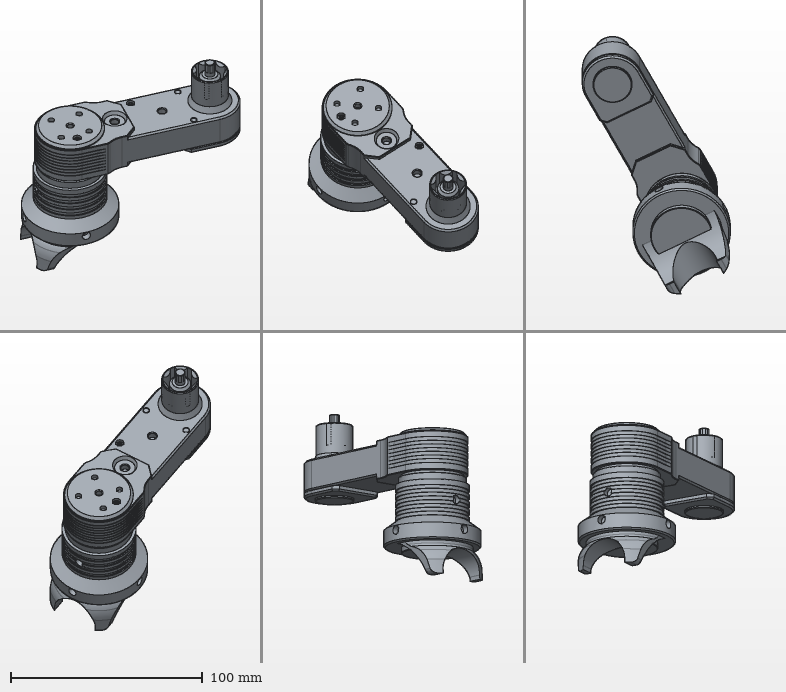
import cadquery as cq
import math

hub_z = 15.3
ring_bottom_z = 18.5
ring_shoulder_z = 27.2
sleeve_bottom_z = 32.3
sleeve_top_z = 51.5
collar_top_z = 55.3
block_bottom_z = 56.8
block_top_z = 77.4
cap_top_z = 79.3
arm_bottom_z = 58.7
arm_top_z = 75.5
foot_bottom_z = 56.0
foot_disc_z = 54.8
flare_top_z = 78.8
post_top_z = 95.0
hex_base_z = 95.4
hex_top_z = 100.7

edge_chamfer = 0.4
ring_diameter = 51.0
ring_radius = ring_diameter / 2
ring_chamfer = 0.8
sleeve_radius = 19.4
sleeve_groove_radius = 18.7
sleeve_rib_height = 2.0
sleeve_rib_pitch = 4.0
sleeve_rib_count = 5
collar_radius = 17.7
neck_radius = 16.5
neck_height = 1.5
hub_radius = 16.2
set_screw_radius = 2.3
set_screw_depth = 3.6
ring_screw_z = 24.7
sleeve_screw_z = 41.5

total_length = 118.8
arm_width = 31.7
arm_radius = arm_width / 2
post_y = total_length - ring_radius - arm_radius
arm_chamfer = 1.0
foot_end_y = 58.7
foot_corner = 2.9
foot_disc_radius = 10.2
foot_chamfer = 1.0
foot_disc_chamfer = foot_chamfer / 2
post_diameter = 19.4
post_radius = post_diameter / 2
flare_radius = 11.5
post_chamfer = 0.5
socket_radius = 9.0
socket_depth = 11.9
spline_count = 6
spline_radius = 5.7
spline_center = 13.0
boss_radius = 5.6
boss_chamfer = 1.4
boss_top_z = 93.0
hex_flats = 5.0
shaft_radius = 2.6
lead_in = 1.4
hex_chamfer = 0.4

block_radius = 18.7
block_side_y = 14.3
block_curve_y = 15.7
block_curve_x = 18.2
block_waist_y = 23.0
block_end_y = 32.0
block_corner_x = 10.2
block_corner_y = 26.1
slot_count = 4
slot_width = 2.0
slot_pitch = 3.9
slot_depth = 0.4
slot_top_z = 74.2
slot_floor_y = 9.4
slot_end_y = 13.0
cap_radius = 18.0
cap_chamfer = 1.4

claw_top_width = 42.5
claw_tip_width = 35.4
claw_tip_fillet = 3.0
claw_tip_y = -15.3
claw_tip_z = 1.4
claw_hollow_middle = (-10.3, 9.7)
skirt_top_radius = 21.4
skirt_tip_radius = 26.4
skirt_collar_bottom = (skirt_top_radius, 16.9)
skirt_shoulder = (21.7, 15.6)
skirt_upper_middle = (23.0, 14.3)
skirt_knee = (24.0, 13.0)
skirt_lower_middle = (25.2, 10.3)
skirt_flank = (25.9, 7.5)
claw_back_y = 3.6
arch_width = 25.3
arch_radius = arch_width / 2
arch_center_z = 2.3

pin_radius = 1.7
arm_pin_depth = 0.6
cap_pin_depth = 2.4
arm_pin_x = 12.5
arm_pin_y = 64.2
cap_pin_offset = 7.7
plug_radius = 2.6
plug_bore_radius = 2.1
cap_plug_radius = 2.1
cap_plug_bore_radius = 1.5
plug_depth = 3.6
plug_rim = 0.5
arm_plug_y = 51.0
block_plug_y = 24.7
recess_radius = 6.4
recess_floor_radius = 5.3
jet_radius = 2.1
jet_depth = 1.8
jet_core_radius = 1.2
jet_core_height = 1.3
jet_bore_radius = 0.6
arm_jet = (-11.6, 37.7)
cap_jet = (10.9, 0)


def disc(radius, bottom, top, x=0, y=0):
    return cq.Workplane("XY", origin=(x, y, bottom)).circle(radius).extrude(top - bottom)


def cone(bottom_radius, top_radius, bottom, top, x=0, y=0):
    frustum = cq.Solid.makeCone(bottom_radius, top_radius, top - bottom, cq.Vector(x, y, bottom))
    return cq.Workplane(frustum)


def spindle():
    ring = disc(ring_radius, ring_bottom_z, ring_shoulder_z).faces("<Z").chamfer(ring_chamfer)
    body = ring.union(cone(ring_radius, sleeve_groove_radius, ring_shoulder_z, sleeve_bottom_z))
    body = body.union(disc(hub_radius, hub_z, ring_bottom_z).faces("<Z").chamfer(edge_chamfer))
    body = body.union(disc(sleeve_groove_radius, sleeve_bottom_z, sleeve_top_z))
    for i in range(sleeve_rib_count):
        rib_bottom = sleeve_bottom_z + i * sleeve_rib_pitch
        is_last = i == sleeve_rib_count - 1
        rib_top = sleeve_top_z if is_last else rib_bottom + sleeve_rib_height
        body = body.union(disc(sleeve_radius, rib_bottom, rib_top))
    body = body.union(disc(collar_radius, sleeve_top_z, collar_top_z))
    body = body.union(disc(neck_radius, collar_top_z, collar_top_z + neck_height))

    front_bore = cq.Workplane("XZ", origin=(0, -ring_radius, ring_screw_z)).circle(set_screw_radius)
    bore = front_bore.extrude(-set_screw_depth)
    for angle in range(0, 360, 90):
        body = body.cut(bore.rotate((0, 0, 0), (0, 0, 1), angle))
    sleeve_plane = cq.Workplane("XZ", origin=(0, -sleeve_radius, sleeve_screw_z))
    return body.cut(sleeve_plane.circle(set_screw_radius).extrude(-set_screw_depth))


def claw():
    skirt = (
        cq.Workplane("XZ")
        .moveTo(0, ring_bottom_z)
        .lineTo(skirt_top_radius, ring_bottom_z)
        .lineTo(*skirt_collar_bottom)
        .lineTo(*skirt_shoulder)
        .threePointArc(skirt_upper_middle, skirt_knee)
        .threePointArc(skirt_lower_middle, skirt_flank)
        .lineTo(skirt_tip_radius, 0)
        .lineTo(0, 0)
        .close()
        .revolve(360, (0, 0, 0), (0, 1, 0))
    )
    outline = (
        cq.Workplane("XZ", origin=(0, total_length / 2, 0))
        .moveTo(-claw_top_width / 2, ring_bottom_z)
        .lineTo(claw_top_width / 2, ring_bottom_z)
        .lineTo(claw_tip_width / 2, 0)
        .lineTo(-claw_tip_width / 2, 0)
        .close()
        .extrude(total_length)
        .edges("|Y and <Z")
        .fillet(claw_tip_fillet)
    )
    hollow = (
        cq.Workplane("YZ")
        .moveTo(claw_back_y, ring_bottom_z)
        .threePointArc(claw_hollow_middle, (claw_tip_y, claw_tip_z))
        .lineTo(claw_tip_y, 0)
        .lineTo(total_length / 2, 0)
        .lineTo(total_length / 2, ring_bottom_z)
        .close()
        .extrude(ring_radius, both=True)
    )
    arch = (
        cq.Workplane("XZ")
        .moveTo(-arch_radius, 0)
        .lineTo(-arch_radius, arch_center_z)
        .threePointArc((0, arch_center_z + arch_radius), (arch_radius, arch_center_z))
        .lineTo(arch_radius, 0)
        .close()
        .extrude(total_length / 2)
    )
    return skirt.intersect(outline).cut(hollow).cut(arch)


def arm():
    bar = (
        cq.Workplane("XY", origin=(0, 0, arm_bottom_z))
        .moveTo(-arm_radius, 0)
        .lineTo(-arm_radius, post_y)
        .threePointArc((0, post_y + arm_radius), (arm_radius, post_y))
        .lineTo(arm_radius, 0)
        .close()
        .extrude(arm_top_z - arm_bottom_z)
    )
    bar = bar.faces("<Z or >Z").chamfer(arm_chamfer)
    foot = (
        cq.Workplane("XY", origin=(0, 0, foot_bottom_z))
        .moveTo(-arm_radius, foot_end_y + foot_corner)
        .lineTo(-arm_radius, post_y)
        .threePointArc((0, post_y + arm_radius), (arm_radius, post_y))
        .lineTo(arm_radius, foot_end_y + foot_corner)
        .lineTo(arm_radius - foot_corner, foot_end_y)
        .lineTo(foot_corner - arm_radius, foot_end_y)
        .close()
        .extrude(arm_bottom_z - foot_bottom_z)
        .faces("<Z")
        .chamfer(foot_chamfer)
    )
    foot_disc = disc(foot_disc_radius, foot_disc_z, foot_bottom_z, y=post_y)
    return bar.union(foot).union(foot_disc.faces("<Z").chamfer(foot_disc_chamfer))


def post():
    shell = disc(post_radius, arm_top_z, post_top_z, y=post_y).faces(">Z").chamfer(post_chamfer)
    flare = cone(flare_radius, post_radius, arm_top_z, flare_top_z, y=post_y)
    socket_floor = post_top_z - socket_depth
    socket = disc(socket_radius, socket_floor, post_top_z, y=post_y)
    for i in range(spline_count):
        angle = 2 * math.pi * i / spline_count
        x = spline_center * math.cos(angle)
        y = post_y + spline_center * math.sin(angle)
        socket = socket.cut(disc(spline_radius, socket_floor, post_top_z, x, y))
    boss = disc(boss_radius, socket_floor, boss_top_z, y=post_y).faces(">Z").chamfer(boss_chamfer)
    shaft = disc(shaft_radius, socket_floor, hex_base_z, y=post_y)
    stub = (
        cq.Workplane("XY", origin=(0, post_y, hex_base_z))
        .polygon(6, hex_flats, circumscribed=True)
        .extrude(hex_top_z - hex_base_z)
    )
    turned = disc(shaft_radius, hex_base_z, hex_top_z, y=post_y).faces(">Z").chamfer(hex_chamfer)
    mouth = cone(spline_center - spline_radius, socket_radius, post_top_z - lead_in, post_top_z, y=post_y)
    return shell.union(flare).cut(socket).cut(mouth).union(boss).union(shaft).union(stub.intersect(turned))


def rounded_profile(plane, half_width, straight_y):
    """Open U-shaped outline: a round -Y end with straight sides reaching +Y."""
    start = plane.moveTo(-half_width, straight_y).lineTo(-half_width, 0)
    return start.threePointArc((0, -half_width), (half_width, 0)).lineTo(half_width, straight_y)


def block():
    plane = cq.Workplane("XY", origin=(0, 0, block_bottom_z))
    flare_x = block_curve_x - arm_radius
    flare_y = block_waist_y - block_curve_y
    waist_radius = (flare_x**2 + flare_y**2) / (2 * flare_x)
    body = (
        rounded_profile(plane, block_radius, block_side_y)
        .lineTo(block_curve_x, block_curve_y)
        .radiusArc((arm_radius, block_waist_y), waist_radius)
        .lineTo(arm_radius, block_corner_y)
        .lineTo(block_corner_x, block_end_y)
        .lineTo(-block_corner_x, block_end_y)
        .lineTo(-arm_radius, block_corner_y)
        .lineTo(-arm_radius, block_waist_y)
        .radiusArc((-block_curve_x, block_curve_y), waist_radius)
        .close()
        .extrude(block_top_z - block_bottom_z)
        .faces("<Z or >Z")
        .chamfer(edge_chamfer)
    )
    for i in range(slot_count):
        slot_plane = cq.Workplane("XY", origin=(0, 0, slot_top_z - slot_width - i * slot_pitch))
        core = (
            rounded_profile(slot_plane, block_radius - slot_depth, slot_floor_y)
            .lineTo(block_radius, slot_end_y)
            .lineTo(-block_radius, slot_end_y)
            .close()
            .extrude(slot_width)
        )
        band = rounded_profile(slot_plane, block_radius + slot_depth, slot_end_y).close().extrude(slot_width)
        body = body.cut(band.cut(core))
    cap = disc(cap_radius, block_top_z, cap_top_z).faces(">Z").chamfer(cap_chamfer)
    return body.union(cap)


def pin_hole(x, y, top, depth):
    return disc(pin_radius, top - depth, top, x, y)


def plug_hole(rim_radius, bore_radius, y, top):
    rim = cone(bore_radius, rim_radius, top - plug_rim, top, y=y)
    return rim.union(disc(bore_radius, top - plug_depth, top, y=y))


def jet_hole(x, y, top):
    """Ring-shaped well around a small bored core."""
    floor = top - jet_depth
    core = disc(jet_core_radius, floor, floor + jet_core_height, x, y)
    bored_core = core.cut(disc(jet_bore_radius, floor, top, x, y))
    return disc(jet_radius, floor, top, x, y).cut(bored_core)


result = spindle().union(claw()).union(arm()).union(block()).union(post())
for side in (-1, 1):
    result = result.cut(pin_hole(side * arm_pin_x, arm_pin_y, arm_top_z, arm_pin_depth))
    for end in (-1, 1):
        cap_pin = pin_hole(side * cap_pin_offset, end * cap_pin_offset, cap_top_z, cap_pin_depth)
        result = result.cut(cap_pin)
result = result.cut(cone(recess_floor_radius, recess_radius, arm_top_z, block_top_z, y=block_plug_y))
for plug_y in (arm_plug_y, block_plug_y):
    result = result.cut(plug_hole(plug_radius, plug_bore_radius, plug_y, arm_top_z))
result = result.cut(plug_hole(cap_plug_radius, cap_plug_bore_radius, 0, cap_top_z))
result = result.cut(jet_hole(*arm_jet, arm_top_z))
result = result.cut(jet_hole(*cap_jet, cap_top_z))